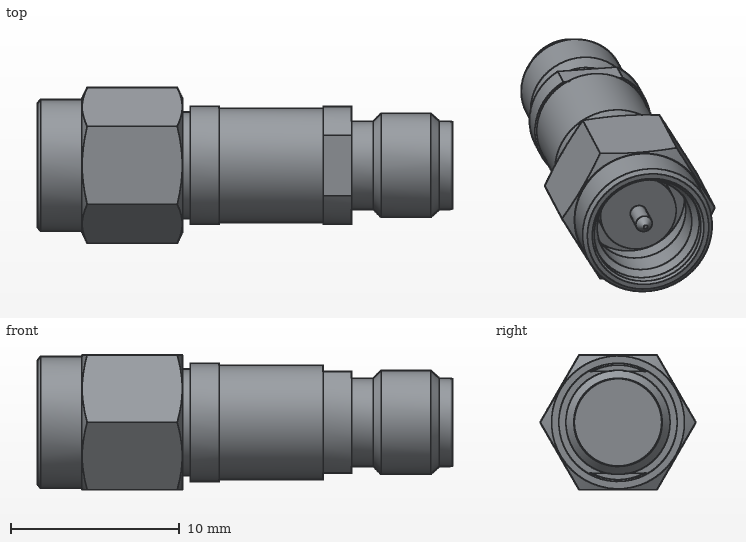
import cadquery as cq
import math


nut_length = 8.6
sleeve_radius = 3.9
sleeve_chamfer_length = 0.2
front_face_radius = 3.67
hex_start = 2.63
hex_across_flats = 8.0
hex_corner_radius = hex_across_flats / math.sqrt(3)
hex_chamfer_radius = 3.94
hex_chamfer_length = 0.32

mouth_radius = 3.37
entry_radius = 3.22
entry_chamfer_length = mouth_radius - entry_radius
entry_end = 0.71
thread_radius = 2.85
thread_start = entry_end + entry_radius - thread_radius
thread_end = 2.95

neck_radius = 3.17
neck_start = 4.92
relief_start = thread_end + neck_radius - thread_radius
plug_radius = 4.55 / 2
plug_start = thread_end
collar_start = 9.05
collar_end = 10.77
collar_radius = 7.0 / 2
barrel_radius = 3.4
flats_start = 16.92
flats_end = 18.62
flats_across = 6.03
groove_radius = 5.25 / 2
groove_end = 19.9
socket_radius = 6.17 / 2
socket_start = groove_end + socket_radius - groove_radius
socket_end = 23.3
tip_start = 23.81
total_length = 24.6
tip_chamfer_length = 0.17
tip_end_radius = 2.58

pin_radius = 0.5
pin_tip_radius = 0.12
pin_tip_start = 0.71
pin_shoulder = 1.23


def revolve_profile(points):
    """Turn a closed (x, radius) outline about the X axis."""
    outline = cq.Workplane("XY").polyline(points).close()
    return outline.revolve(360, (0, 0, 0), (1, 0, 0))


def make_hex_section():
    """Hexagon with corners on the Y axis and both ends cut back by a cone."""
    hexagon = (
        cq.Workplane("YZ", origin=(hex_start, 0, 0))
        .polygon(6, 2 * hex_corner_radius)
        .extrude(nut_length - hex_start)
    )
    chamfer_envelope = revolve_profile([
        (hex_start, 0),
        (hex_start, hex_chamfer_radius),
        (hex_start + hex_chamfer_length, hex_corner_radius),
        (nut_length - hex_chamfer_length, hex_corner_radius),
        (nut_length, hex_chamfer_radius),
        (nut_length, 0),
    ])
    return hexagon.intersect(chamfer_envelope)


def make_nut():
    """Sleeve and hexagon, bored through for the thread and the body neck."""
    sleeve = revolve_profile([
        (0, 0),
        (0, front_face_radius),
        (sleeve_chamfer_length, sleeve_radius),
        (hex_start, sleeve_radius),
        (hex_start, 0),
    ])
    bore = revolve_profile([
        (0, 0),
        (0, mouth_radius),
        (entry_chamfer_length, entry_radius),
        (entry_end, entry_radius),
        (thread_start, thread_radius),
        (thread_end, thread_radius),
        (relief_start, neck_radius),
        (nut_length, neck_radius),
        (nut_length, 0),
    ])
    return sleeve.union(make_hex_section()).cut(bore)


def make_wrench_flats():
    """Two blocks that cut the flats on the top and bottom of the rear collar."""
    length = flats_end - flats_start
    depth = collar_radius - flats_across / 2
    block = cq.Workplane("XY").box(length, 2 * collar_radius, depth, centered=(False, True, False))
    upper = block.translate((flats_start, 0, flats_across / 2))
    lower = block.translate((flats_start, 0, -collar_radius))
    return upper.union(lower)


def make_body():
    """Centre pin, plug, neck, collars, barrel and socket end in one turned piece."""
    turned = revolve_profile([
        (pin_tip_start, 0),
        (pin_tip_start, pin_tip_radius),
        (pin_shoulder, pin_radius),
        (plug_start, pin_radius),
        (plug_start, plug_radius),
        (neck_start, plug_radius),
        (neck_start, neck_radius),
        (collar_start, neck_radius),
        (collar_start, collar_radius),
        (collar_end, collar_radius),
        (collar_end, barrel_radius),
        (flats_start, barrel_radius),
        (flats_start, collar_radius),
        (flats_end, collar_radius),
        (flats_end, groove_radius),
        (groove_end, groove_radius),
        (socket_start, socket_radius),
        (socket_end, socket_radius),
        (tip_start, groove_radius),
        (total_length - tip_chamfer_length, groove_radius),
        (total_length, tip_end_radius),
        (total_length, 0),
    ])
    return turned.cut(make_wrench_flats())


nut = make_nut()
body = make_body()

result = cq.Compound.makeCompound([nut.val(), body.val()])